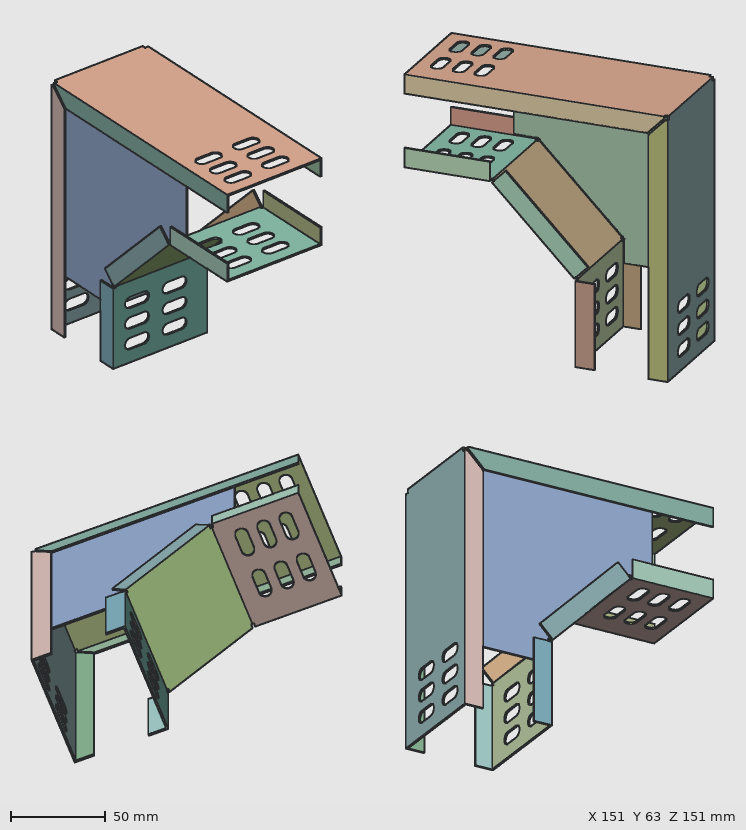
import cadquery as cq
import math


LENGTH = 151.0
WIDTH = 63.0
SHEET = 1.0
FLANGE = 11.0

RELIEF = 2.1
MITRE_GAP = 1.5

DEPTH = 53.0
ARM_START = 101.3
BEND_RELIEF = 0.8
RELIEF_DEPTH = 2.0

PLATE_LENGTH = 114.5
PLATE_INSET = 2.0

SLOT_WIDTH = 7.0
SLOT_LENGTH = 16.0
SLOT_ROWS = 3
SLOT_COLUMNS = 2
SLOT_PITCH = 12.5
SLOT_SPACING = 25.0
SLOT_END_MARGIN = 11.5
SLOT_CENTRE = 28.5

BEND_ANGLE = math.radians(45)
BEND_SLOPE = math.tan(BEND_ANGLE / 2)


def prism(points, start, end):
    """Extrude an XZ outline from Y = start to Y = end."""
    outline = [(x, LENGTH - depth) for x, depth in points]
    return cq.Workplane("XZ", origin=(0, start, 0)).polyline(outline).close().extrude(start - end)


def swapped(points):
    """Points of the vertical arm that correspond to points of the horizontal arm."""
    return [(depth, x) for x, depth in points]


def edge_flanges(points):
    """The same flange outline at both Y edges of a sheet."""
    return prism(points, 0, SHEET).union(prism(points, WIDTH - SHEET, WIDTH))


def slots():
    """Slot cutters through both sheets at the free ends of the two arms."""
    middle_row = LENGTH - SLOT_END_MARGIN - (SLOT_ROWS - 1) * SLOT_PITCH / 2
    cut_length = DEPTH + 2 * SHEET
    horizontal = (
        cq.Workplane("XY", origin=(middle_row, SLOT_CENTRE, LENGTH + SHEET))
        .rarray(SLOT_PITCH, SLOT_SPACING, SLOT_ROWS, SLOT_COLUMNS)
        .slot2D(SLOT_LENGTH, SLOT_WIDTH, 90)
        .extrude(-cut_length)
    )
    vertical = (
        cq.Workplane("YZ", origin=(-SHEET, SLOT_CENTRE, LENGTH - middle_row))
        .rarray(SLOT_SPACING, SLOT_PITCH, SLOT_COLUMNS, SLOT_ROWS)
        .slot2D(SLOT_LENGTH, SLOT_WIDTH)
        .extrude(cut_length)
    )
    return horizontal.union(vertical)


def make_outer_sheet():
    """L-shaped sheet with mitred flanges and a relief notch at each end of its bent edge."""
    web = prism(
        [(0, 0), (LENGTH, 0), (LENGTH, SHEET), (SHEET, SHEET), (SHEET, LENGTH), (0, LENGTH)],
        0,
        WIDTH,
    )
    half_gap = MITRE_GAP / 2
    flange = [(half_gap, 0), (LENGTH, 0), (LENGTH, FLANGE), (FLANGE + half_gap, FLANGE)]
    sheet = web.union(edge_flanges(flange)).union(edge_flanges(swapped(flange)))
    notch = [(0, 0), (RELIEF, 0), (RELIEF, RELIEF), (0, RELIEF)]
    sheet = sheet.cut(prism(notch, 0, RELIEF)).cut(prism(notch, WIDTH - RELIEF, WIDTH))
    return sheet.cut(slots())


def inner_path(inset):
    """Horizontal then vertical arm of the inner sheet's profile, offset inwards by inset."""
    bend = ARM_START - inset * BEND_SLOPE
    depth = DEPTH - inset
    return [(LENGTH, depth), (bend, depth), (depth, bend), (depth, LENGTH)]


def make_inner_sheet():
    """Sheet bent twice by 45 degrees, with a separate flange on each of its three webs."""
    web = prism(inner_path(0) + inner_path(SHEET)[::-1], 0, WIDTH)
    relief_outline = [
        (ARM_START - BEND_RELIEF, DEPTH - 2 * SHEET),
        (ARM_START + BEND_RELIEF, DEPTH - 2 * SHEET),
        (ARM_START + BEND_RELIEF, DEPTH + SHEET),
        (ARM_START - BEND_RELIEF, DEPTH + SHEET),
    ]
    for outline in (relief_outline, swapped(relief_outline)):
        web = web.cut(prism(outline, 0, RELIEF_DEPTH))
        web = web.cut(prism(outline, WIDTH - RELIEF_DEPTH, WIDTH))

    arm_start = ARM_START + BEND_RELIEF
    arm_flange = [
        (arm_start, DEPTH),
        (LENGTH, DEPTH),
        (LENGTH, DEPTH - FLANGE),
        (arm_start, DEPTH - FLANGE),
    ]
    shift = BEND_RELIEF * math.cos(BEND_ANGLE)
    rise = FLANGE * math.sin(BEND_ANGLE)
    near_end = (ARM_START - shift, DEPTH + shift)
    far_end = (DEPTH + shift, ARM_START - shift)
    diagonal_flange = [
        near_end,
        far_end,
        (far_end[0] - rise, far_end[1] - rise),
        (near_end[0] - rise, near_end[1] - rise),
    ]
    sheet = web
    for outline in (arm_flange, swapped(arm_flange), diagonal_flange):
        sheet = sheet.union(edge_flanges(outline))
    return sheet.cut(slots())


def make_side_plate():
    """Flat plate behind the front flanges, closing the corner between the two sheets."""
    outer = [(PLATE_INSET, PLATE_LENGTH), (PLATE_INSET, PLATE_INSET), (PLATE_LENGTH, PLATE_INSET)]
    path = inner_path(PLATE_INSET)
    inner = [(PLATE_LENGTH, path[0][1]), path[1], path[2], (path[3][0], PLATE_LENGTH)]
    return prism(outer + inner, SHEET, 2 * SHEET)


outer_sheet = make_outer_sheet()
inner_sheet = make_inner_sheet()
side_plate = make_side_plate()

result = cq.Compound.makeCompound([outer_sheet.val(), inner_sheet.val(), side_plate.val()])